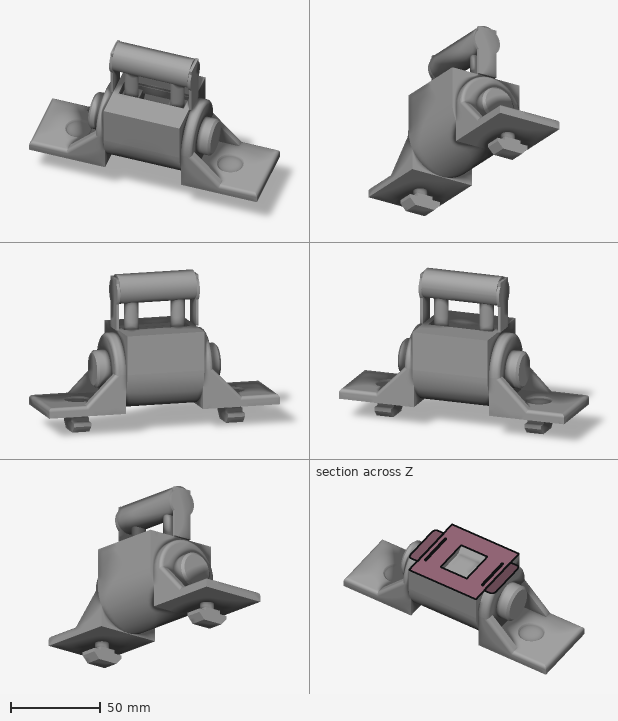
import cadquery as cq
block_size = 45.0
pivot_height = block_size / 2
block_clearance = 0.3

neck_radius = 4.0
neck_length = 4.0
nut_length = 10.0
nut_collar_width = 10.3
nut_collar_height = 2.0
nut_width = 20.0
nut_side_height = 2.0
nut_bottom_width = 12.7
nut_bottom_height = 3.8

slot_length = 38.6
slot_mouth_width = 11.9
slot_mouth_depth = 1.5
slot_width = 11.0
slot_lip_depth = 6.6
slot_depth = 12.0
slot_floor_width = 14.6
undercut_width = 21.0
handle_nut_depth = 4.2

top_height = 75.9
grip_radius = 8.4
grip_height = top_height - grip_radius
post_radius = neck_radius
post_offset = 13.6
cheek_thickness = 1.6
cheek_width = 11.9
cheek_top = 74.1
cheek_disc_height = 65.9

total_length = 135.0
foot_width = 40.0
foot_radius = foot_width / 2
foot_end = total_length / 2
foot_start = block_size / 2
plate_thickness = 5.7
hub_thickness = 6.1
hub_face = foot_start + hub_thickness
rib_thickness = 5.0
edge_fillet = 2.0
boss_radius = 10.5
boss_length = 7.7
boss_chamfer = 1.4
bolt_offset = 45.0
recess_floor_radius = 6.6
recess_depth = 1.0


def extrude_mirrored(half_outline, length):
    """Extrude a Y-Z outline and its mirror image, centred along X."""
    other_half = [(-y, z) for y, z in reversed(half_outline)]
    return (
        cq.Workplane("YZ", origin=(-length / 2, 0, 0))
        .polyline(half_outline + other_half)
        .close()
        .extrude(length)
    )


def make_slot_nut(x, mounting_height):
    """Neck and T-shaped nut hanging below a mounting face."""
    shoulder = -neck_length - nut_collar_height
    side_end = shoulder - nut_side_height
    bottom = side_end - nut_bottom_height
    outline = [
        (nut_collar_width / 2, -neck_length),
        (nut_collar_width / 2, shoulder),
        (nut_width / 2, shoulder),
        (nut_width / 2, side_end),
        (nut_bottom_width / 2, bottom),
    ]
    nut = extrude_mirrored(outline, nut_length)
    neck = cq.Workplane("XY").circle(neck_radius).extrude(-neck_length)
    return nut.union(neck).translate((x, 0, mounting_height))


def make_handle():
    grip = (
        cq.Workplane("YZ", origin=(-block_size / 2, 0, grip_height))
        .circle(grip_radius)
        .extrude(block_size)
    )
    handle = grip
    nut_top = block_size - handle_nut_depth
    nut = extrude_mirrored([(slot_width / 2, nut_top)] + undercut_outline(), nut_length)
    for x in (-post_offset, post_offset):
        post = (
            cq.Workplane("XY", origin=(x, 0, nut_top))
            .circle(post_radius)
            .extrude(grip_height - nut_top)
        )
        handle = handle.union(post).union(nut.translate((x, 0, 0)))
    for start in (-block_size / 2 - cheek_thickness, block_size / 2):
        strip = cq.Workplane("XY", origin=(start, 0, block_size)).box(
            cheek_thickness, cheek_width, cheek_top - block_size, centered=(False, True, False)
        )
        disc = (
            cq.Workplane("YZ", origin=(start, 0, cheek_disc_height))
            .circle(grip_radius)
            .extrude(cheek_thickness)
        )
        handle = handle.union(strip.union(disc))
    return handle


def undercut_outline():
    """Half of the slot outline, from its lip down to its floor."""
    lip = block_size - slot_lip_depth
    floor = block_size - slot_depth
    return [
        (slot_width / 2, lip),
        (undercut_width / 2, lip),
        (undercut_width / 2, floor + (undercut_width - slot_floor_width) / 2),
        (slot_floor_width / 2, floor),
    ]


def make_slot():
    """Stepped slot with a T-shaped undercut, closed at both ends."""
    ledge = block_size - slot_mouth_depth
    mouth = [
        (slot_mouth_width / 2, block_size),
        (slot_mouth_width / 2, ledge),
        (slot_width / 2, ledge),
    ]
    return extrude_mirrored(mouth + undercut_outline(), slot_length)


def make_pivot_block():
    """Block with its half-round bottom just clear of the mounting face, and its handle."""
    half = block_size / 2
    round_start = half + block_clearance
    block = (
        cq.Workplane("YZ", origin=(-half, 0, 0))
        .moveTo(-half, round_start)
        .lineTo(-half, block_size)
        .lineTo(half, block_size)
        .lineTo(half, round_start)
        .threePointArc((0, block_clearance), (-half, round_start))
        .close()
        .extrude(block_size)
    )
    return block.cut(make_slot()).union(make_handle())


def make_foot_body():
    """Base plate, ribs and round-topped hub, with all the outer top edges rounded."""
    slope_foot = hub_face + pivot_height - plate_thickness
    margin = 0.1
    wedge = (
        cq.Workplane("XZ", origin=(0, foot_radius, 0))
        .moveTo(foot_start, 0)
        .lineTo(foot_end, 0)
        .lineTo(foot_end, plate_thickness)
        .lineTo(slope_foot, plate_thickness)
        .lineTo(hub_face, pivot_height)
        .lineTo(foot_start, pivot_height)
        .close()
        .extrude(foot_width)
    )
    outer_edges = (
        wedge.edges("(>Y or <Y) and (not |Z)")
        .edges(cq.selectors.BoxSelector(
            (hub_face - margin, -foot_width, plate_thickness - margin),
            (foot_end + margin, foot_width, pivot_height - margin),
        ))
        .add(wedge.faces(">X").edges(">Z"))
    )
    wedge = wedge.newObject(outer_edges.vals()).fillet(edge_fillet)
    hub = (
        cq.Workplane("YZ", origin=(foot_start, 0, pivot_height))
        .circle(foot_radius)
        .extrude(hub_thickness)
        .faces(">X")
        .edges()
        .fillet(edge_fillet)
    )
    return wedge.union(hub)


def make_foot():
    foot = make_foot_body()
    pocket = (
        cq.Workplane("XY", origin=(hub_face, 0, plate_thickness))
        .box(foot_end, foot_width - 2 * rib_thickness, block_size, centered=(False, True, False))
    )
    foot = foot.cut(pocket)
    boss = (
        cq.Workplane("YZ", origin=(hub_face, 0, pivot_height))
        .circle(boss_radius)
        .extrude(boss_length)
        .faces(">X")
        .chamfer(boss_chamfer)
    )
    recess = cq.Workplane("XY").add(
        cq.Solid.makeCone(
            recess_floor_radius,
            recess_floor_radius + recess_depth,
            recess_depth,
            pnt=cq.Vector(bolt_offset, 0, plate_thickness - recess_depth),
        )
    )
    return foot.union(boss).cut(recess).union(make_slot_nut(bolt_offset, 0))


right_foot = make_foot()
left_foot = right_foot.mirror("YZ")
pivot_block = make_pivot_block()
result = cq.Compound.makeCompound([pivot_block.val(), right_foot.val(), left_foot.val()])